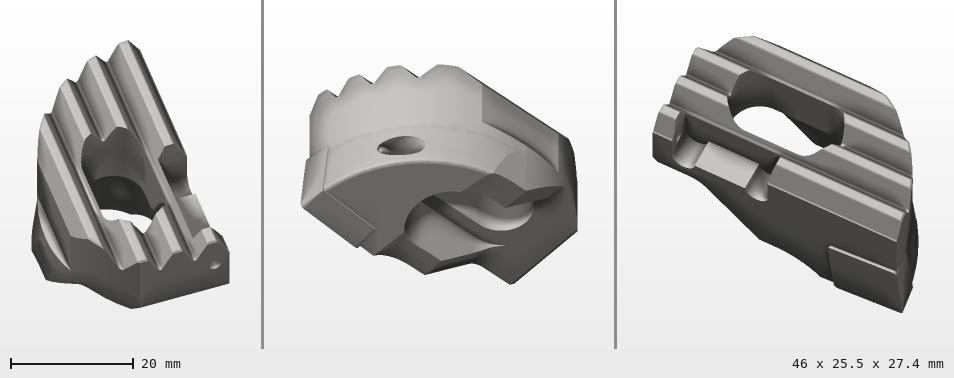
import cadquery as cq
import math


radius = 24.9
left_radius = 25.02
right_end = 19.5
top_chamfer = 0.28
flare_top = -15.25
flare_angle = 6.0
stock_bottom = -32.2
foot_bottom = -23.95
arm_bottom = -12.93
arm_corner_chamfer = 0.95
arm_fillet = 4.6
gullet_start = -2.85
gullet_radius = 11.78
gullet_sweep = 50.0
slope_angle = 45.0
heel_inset = 0.3
heel_angle = 6.5
heel_fillet = 0.7

pitch = 6.0
tooth_count = 4
tooth_depth = 3.55
flank_angle = 30.0
crest_half_width = 0.75
first_crest_y = -2.95
crest_fillet = 0.45

flat_y = -23.45
flat_bottom = -12.3
flat_ledge_angle = 30.0

slot_length = 20.15
slot_width = 10.6
slot_x = 1.25
slot_y = -2 * pitch

pocket_length = 27.4
pocket_width = 15.65

notch_x = 7.2
notch_width = 17.5
notch_depth = 5.05
notch_floor = -8.5
notch_groove_radius = 2.05
lead_in_height = 2.02
lead_in_width = 0.4
pin_hole_radius = 0.95
pin_hole_z = -6.05

insert_size = 12.7
insert_thickness = 4.8
insert_corner_radius = 0.8
insert_clearance = 7.0
insert_proud = 0.55
insert_x = -19.6
insert_z = -20.5
insert_tilt = 6.0

screw_x = -19.3
screw_z = -20.3
screw_radius = 2.1
screw_tip_radius = 1.6
screw_tip_y = -13.15
screw_tip_chamfer = 0.28
counterbore_radius = 2.58
counterbore_floor = -12.6

margin = 4.6


def tilt_with_insert(shape):
    """Turn a shape drawn square to the insert into its tilted place."""
    return shape.rotate((0, 0, 0), (0, 1, 0), insert_tilt).translate((insert_x, insert_proud, insert_z))


def make_insert_blank():
    """Square plate that narrows away from its outer face at +Y."""
    return tilt_with_insert(
        cq.Workplane("XZ")
        .sketch()
        .rect(insert_size, insert_size)
        .vertices()
        .fillet(insert_corner_radius)
        .finalize()
        .extrude(insert_thickness, taper=insert_clearance)
    )


def make_left_side():
    """Round left side: a cylinder that flares below and ends on the tilted heel."""
    flare_growth = (flare_top - stock_bottom) * math.tan(math.radians(flare_angle))
    side = (
        cq.Workplane("XZ", origin=(0, left_radius - radius, 0))
        .polyline(
            [
                (0, 0),
                (-left_radius + top_chamfer, 0),
                (-left_radius, -top_chamfer),
                (-left_radius, flare_top),
                (-left_radius - flare_growth, stock_bottom),
                (0, stock_bottom),
            ]
        )
        .close()
        .revolve(90, (0, 0, 0), (0, 1, 0))
    )
    reach = 4 * radius
    below_heel = (
        cq.Workplane("XY")
        .box(reach, reach, reach, centered=(True, True, False))
        .translate((0, 0, -reach))
        .rotate((0, 0, 0), (1, 0, 0), -heel_angle)
        .translate((0, 0, heel_inset - insert_size / 2))
    )
    side = side.cut(tilt_with_insert(below_heel))
    heel_zone = cq.selectors.BoxSelector(
        (-reach, -reach, -reach),
        (-margin, -margin, foot_bottom + 2 * heel_fillet),
    )
    side = side.edges(heel_zone).fillet(heel_fillet)
    between_back_and_front = (
        cq.Workplane("XY").box(reach, radius, reach, centered=(True, False, True)).translate((0, -radius, 0))
    )
    return side.intersect(between_back_and_front)


def make_right_side():
    """Right side with its round front cut off by a straight end."""
    corner_y = -math.sqrt(radius**2 - right_end**2)
    middle_angle = math.atan2(corner_y, right_end) / 2 - math.pi / 4
    return (
        cq.Workplane("XY")
        .moveTo(0, 0)
        .lineTo(right_end, 0)
        .lineTo(right_end, corner_y)
        .threePointArc((radius * math.cos(middle_angle), radius * math.sin(middle_angle)), (0, -radius))
        .close()
        .extrude(stock_bottom)
        .faces(">Z")
        .edges("not (<X or >Y)")
        .chamfer(top_chamfer)
    )


def make_underside():
    """Everything below the gullet, foot, slope and arm, to be cut away along Y."""
    gullet_center_z = foot_bottom - gullet_radius

    def gullet_point(degrees):
        angle = math.radians(degrees)
        x = gullet_start - gullet_radius * math.sin(angle)
        z = gullet_center_z + gullet_radius * math.cos(angle)
        return (x, z)

    gullet_end = gullet_point(gullet_sweep)

    slope_end_x = (arm_bottom - foot_bottom) / math.tan(math.radians(slope_angle))
    fillet_center_x = slope_end_x + arm_fillet * math.tan(math.radians(slope_angle / 2))
    fillet_center_z = arm_bottom - arm_fillet

    def fillet_point(degrees):
        angle = math.radians(degrees)
        x = fillet_center_x - arm_fillet * math.sin(angle)
        z = fillet_center_z + arm_fillet * math.cos(angle)
        return (x, z)

    chamfer_top = arm_bottom + arm_corner_chamfer
    return (
        cq.Workplane("XZ")
        .moveTo(gullet_end[0], stock_bottom)
        .lineTo(*gullet_end)
        .threePointArc(gullet_point(gullet_sweep / 2), (gullet_start, foot_bottom))
        .lineTo(0, foot_bottom)
        .lineTo(*fillet_point(slope_angle))
        .threePointArc(fillet_point(slope_angle / 2), fillet_point(0))
        .lineTo(right_end - arm_corner_chamfer, arm_bottom)
        .lineTo(right_end, chamfer_top)
        .lineTo(right_end + margin, chamfer_top)
        .lineTo(right_end + margin, stock_bottom)
        .close()
        .extrude(2 * radius, both=True)
    )


def make_tooth_grooves():
    """Everything above the row of teeth, with rounded crests and full-round roots between them."""
    angle = math.radians(flank_angle)
    root_half_width = pitch / 2 - crest_half_width - tooth_depth * math.tan(angle)
    arc_half_width = root_half_width * (1 + math.sin(angle))
    arc_z = -tooth_depth + root_half_width * math.cos(angle)

    start_y = first_crest_y + pitch
    end_y = first_crest_y - tooth_count * pitch
    profile = cq.Workplane("YZ").moveTo(start_y, margin).lineTo(start_y, 0)
    for index in range(tooth_count + 1):
        root_y = start_y - (index + 0.5) * pitch
        profile = (
            profile.lineTo(root_y + pitch / 2 - crest_half_width, 0)
            .lineTo(root_y + arc_half_width, arc_z)
            .threePointArc((root_y, -tooth_depth), (root_y - arc_half_width, arc_z))
            .lineTo(root_y - pitch / 2 + crest_half_width, 0)
        )
    grooves = profile.lineTo(end_y, 0).lineTo(end_y, margin).close().extrude(2 * radius, both=True)
    crest_edges = cq.selectors.BoxSelector(
        (-margin, end_y + pitch / 2, -crest_fillet),
        (margin, start_y - pitch / 2, crest_fillet),
    )
    return grooves.edges(crest_edges).fillet(crest_fillet)


def make_flat_cut():
    """Space in front of the flat, ending below on a sloping ledge."""
    ledge_run = 2 * margin
    ledge_drop = ledge_run * math.tan(math.radians(flat_ledge_angle))
    return (
        cq.Workplane("YZ")
        .polyline(
            [
                (flat_y, margin),
                (flat_y, flat_bottom),
                (flat_y - ledge_run, flat_bottom - ledge_drop),
                (flat_y - ledge_run, margin),
            ]
        )
        .close()
        .extrude(2 * radius, both=True)
    )


def make_slot():
    return cq.Workplane("XY").center(slot_x, slot_y).slot2D(slot_length, slot_width).extrude(stock_bottom)


def make_bolt_head_pocket():
    return (
        cq.Workplane("XY", origin=(slot_x, slot_y, arm_bottom))
        .slot2D(pocket_length, pocket_width)
        .extrude(stock_bottom)
    )


def make_notch():
    """Notch with flared mouth, a round groove along each side of its floor and a pin hole."""
    half = notch_width / 2
    opening = (
        cq.Workplane("XZ")
        .polyline(
            [
                (-half, notch_floor),
                (-half, -lead_in_height),
                (-half - lead_in_width, 0),
                (half + lead_in_width, 0),
                (half, -lead_in_height),
                (half, notch_floor),
            ]
        )
        .close()
        .extrude(notch_depth)
    )
    groove_x = half - notch_groove_radius
    grooves = (
        cq.Workplane("XZ")
        .pushPoints([(-groove_x, notch_floor), (groove_x, notch_floor)])
        .circle(notch_groove_radius)
        .extrude(notch_depth)
    )
    pin_hole_y = -notch_depth / 2
    pin_hole = cq.Workplane("YZ").center(pin_hole_y, pin_hole_z).circle(pin_hole_radius).extrude(right_end)
    return opening.union(grooves).union(pin_hole).translate((notch_x, 0, 0))


def make_shank():
    """Plain screw cylinder from the outer face of the insert to the screw tip."""
    return (
        cq.Workplane("XZ", origin=(screw_x, insert_proud, screw_z))
        .circle(screw_radius)
        .extrude(insert_proud - screw_tip_y)
    )


def make_counterbore():
    """Wider bore from the front that leaves the screw tip standing above its floor."""
    return (
        cq.Workplane("XZ", origin=(screw_x, counterbore_floor, screw_z))
        .circle(counterbore_radius)
        .extrude(2 * radius)
    )


def make_screw():
    return (
        make_shank()
        .faces("<Y")
        .chamfer(screw_tip_chamfer, screw_radius - screw_tip_radius)
    )


insert_blank = make_insert_blank()
screw_hole = make_shank()

housing = make_left_side().union(make_right_side())
for cutter in (
    make_underside(),
    make_tooth_grooves(),
    make_flat_cut(),
    make_slot(),
    make_bolt_head_pocket(),
    make_notch(),
    insert_blank,
    screw_hole,
    make_counterbore(),
):
    housing = housing.cut(cutter)

insert = insert_blank.cut(screw_hole)
screw = make_screw()

result = cq.Compound.makeCompound([housing.val(), insert.val(), screw.val()])